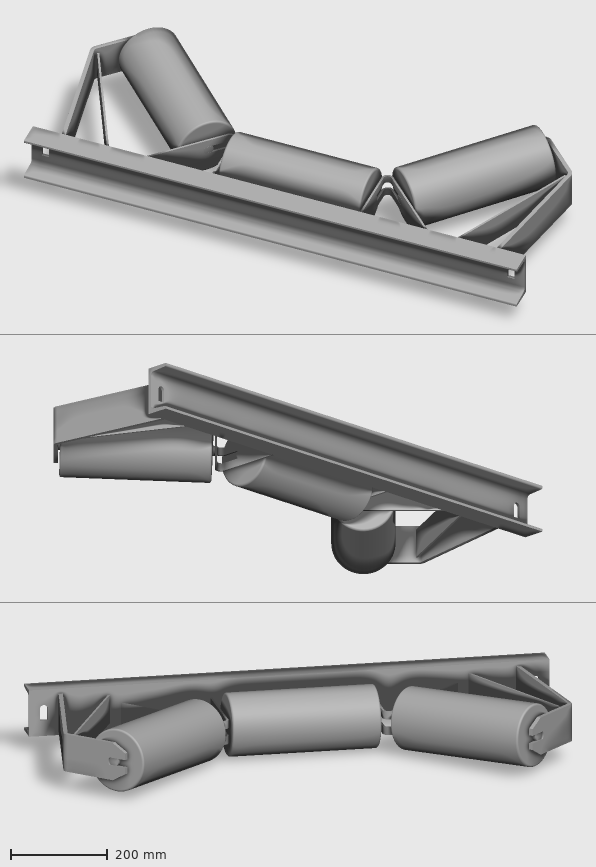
import cadquery as cq
import math


beam_length = 1100.0
beam_height = 100.0
beam_depth = 51.0
web_thickness = 7.0
flange_tip_thickness = 7.0
flange_root_thickness = 10.0
root_radius = 9.0
flange_tip_radius = 3.0
mount_slot_width = 16.0
mount_slot_height = 33.0
mount_slot_inset = 31.0

left = -1

roller_diameter = 133.0
roller_length = 315.0
roller_edge_radius = 4.0
trough_angle = 45.0
forward_tilt = 2.4
centre_roller_y = 115.0
centre_roller_z = -14.0
wing_roller_x = 331.0
wing_roller_y = 255.0

axle_diameter = 22.0
axle_flat_width = 16.0
axle_shoulder = 3.0

plate_gap = 5.0
inner_width = 51.0
outer_width = 80.0
brace_width = 60.0
inner_thickness = 4.0
outer_thickness = 9.0
inner_bend_radius = 9.0
outer_bend_radius = 9.0
outer_tip_reach = 31.0
outer_foot_x = 483.0
outer_bend_x = 534.0
brace_thickness = 4.0
brace_foot_x = 380.0
brace_head_x = 521.0
taper_length = 31.0
taper_depth = 18.0

cut_reach = 77.0
cut_thickness = 26.0

weld_depth = web_thickness / 2
axle_overhang = plate_gap + inner_thickness
half_roller = roller_length / 2
tilt = math.radians(forward_tilt)
slope = math.radians(trough_angle)
inner_leg_x = half_roller + plate_gap + inner_thickness / 2
wing_half_run = half_roller * math.cos(tilt)
inner_plate_offset = wing_half_run + plate_gap + inner_thickness / 2
outer_plate_offset = wing_half_run + plate_gap + outer_thickness / 2
wing_roller_z = centre_roller_z + inner_plate_offset * math.tan(tilt)


def wing_point(side, outward, upward):
    """Plan point reached from the wing roller centre, along its axis and then square to it."""
    x = wing_roller_x + outward * math.cos(slope) - upward * math.sin(slope)
    y = wing_roller_y + outward * math.sin(slope) + upward * math.cos(slope)
    return (side * x, y)


def roller_plane(side):
    """Plane at a roller centre: normal along the roller axis, x towards the open end of its slots."""
    if side == 0:
        return cq.Plane((0, centre_roller_y, centre_roller_z), (0, 1, 0), (1, 0, 0))
    axis = (side * math.cos(slope) * math.cos(tilt), math.sin(slope) * math.cos(tilt), math.sin(tilt))
    opening = (-side * math.sin(slope), math.cos(slope), 0)
    return cq.Plane((side * wing_roller_x, wing_roller_y, wing_roller_z), opening, axis)


def leg_plane(side, outward):
    """Upright plane on a sloping bracket leg, level with the wing roller axis in plan."""
    x, y = wing_point(side, outward, 0)
    opening = (-side * math.sin(slope), math.cos(slope), 0)
    normal = (side * math.cos(slope), math.sin(slope), 0)
    return cq.Plane((x, y, 0), opening, normal)


def make_roller(side):
    """Roller shell with rounded rims and a bore for its axle."""
    base = cq.Workplane(roller_plane(side)).workplane(offset=-half_roller)
    drum = base.circle(roller_diameter / 2).extrude(roller_length).edges().fillet(roller_edge_radius)
    bore = base.circle(axle_diameter / 2).extrude(roller_length)
    return drum.cut(bore)


def flatted_bar(plane, length):
    """Round bar with two flats, centred on the plane."""
    bar = cq.Workplane(plane).circle(axle_diameter / 2).extrude(length / 2, both=True)
    flats = cq.Workplane(plane).rect(axle_diameter, axle_flat_width).extrude(length / 2, both=True)
    return bar.intersect(flats)


def make_axle(side):
    """Round shaft through a roller, flatted at both ends to sit in the bracket slots."""
    plane = roller_plane(side)
    shaft = cq.Workplane(plane).circle(axle_diameter / 2).extrude(half_roller + axle_shoulder, both=True)
    return shaft.union(flatted_bar(plane, roller_length + 2 * axle_overhang))


def axle_slot(side, along):
    """Cutter for the open slot that holds an axle end, at a distance along the roller axis."""
    base = roller_plane(side)
    plane = cq.Plane(base.toWorldCoords((0, 0, along)), base.xDir, base.zDir)
    opening = (
        cq.Workplane(plane)
        .center(cut_reach / 2, 0)
        .rect(cut_reach, axle_flat_width)
        .extrude(cut_thickness / 2, both=True)
    )
    return opening.union(flatted_bar(plane, cut_thickness))


def make_beam():
    """Channel with tapered flanges pointing towards -Y and its web back on Y = 0."""
    half = beam_height / 2
    channel = (
        cq.Workplane("YZ")
        .polyline([
            (0, -half),
            (0, half),
            (-beam_depth, half),
            (-beam_depth, half - flange_tip_thickness),
            (-web_thickness, half - flange_root_thickness),
            (-web_thickness, flange_root_thickness - half),
            (-beam_depth, flange_tip_thickness - half),
            (-beam_depth, -half),
        ])
        .close()
        .extrude(beam_length / 2, both=True)
    )
    for level in (-1, 1):
        root = (0, -web_thickness, level * (half - flange_root_thickness))
        tip = (0, -beam_depth, level * (half - flange_tip_thickness))
        channel = channel.edges(cq.NearestToPointSelector(root)).fillet(root_radius)
        channel = channel.edges(cq.NearestToPointSelector(tip)).fillet(flange_tip_radius)
    return channel


def mount_slot(side):
    """Cutter for an upright mounting hole with a round top and a square bottom."""
    radius = mount_slot_width / 2
    bottom = -mount_slot_height / 2
    shoulder = mount_slot_height / 2 - radius
    return (
        cq.Workplane("XZ")
        .center(side * (beam_length / 2 - mount_slot_inset), 0)
        .moveTo(-radius, bottom)
        .lineTo(-radius, shoulder)
        .threePointArc((0, shoulder + radius), (radius, shoulder))
        .lineTo(radius, bottom)
        .close()
        .extrude(web_thickness)
    )


def shifted(point, direction, distance):
    """Point moved sideways, square to a direction given in radians."""
    return (point[0] - distance * math.sin(direction), point[1] + distance * math.cos(direction))


def make_strip(start, bend, end, thickness, width, bend_radius):
    """Upright plate along a plan centre line, bent to the right once with a given inside radius."""
    heading_in = math.atan2(bend[1] - start[1], bend[0] - start[0])
    heading_out = math.atan2(end[1] - bend[1], end[0] - bend[0])
    half_turn = (heading_out - heading_in) / 2
    half = thickness / 2
    outside = shifted(bend, heading_in + half_turn, half / math.cos(half_turn))
    inside = shifted(bend, heading_in + half_turn, -half / math.cos(half_turn))
    strip = (
        cq.Workplane("XY")
        .polyline([
            shifted(start, heading_in, half),
            outside,
            shifted(end, heading_out, half),
            shifted(end, heading_out, -half),
            inside,
            shifted(start, heading_in, -half),
        ])
        .close()
        .extrude(width / 2, both=True)
    )
    strip = strip.edges(cq.NearestToPointSelector((*inside, 0))).fillet(bend_radius)
    return strip.edges(cq.NearestToPointSelector((*outside, 0))).fillet(bend_radius + thickness)


def taper_cut(plane, start):
    """Cutter that narrows a plate from both edges, beginning a given distance along the plane's x."""
    edge = outer_width / 2
    cutter = cq.Workplane(plane)
    for level in (-1, 1):
        cutter = (
            cutter.moveTo(start, level * edge)
            .lineTo(start + taper_length, level * (edge - taper_depth))
            .lineTo(start + cut_reach, level * (edge - taper_depth))
            .lineTo(start + cut_reach, level * outer_width)
            .lineTo(start, level * outer_width)
            .close()
        )
    return cutter.extrude(cut_thickness / 2, both=True)


def make_inner_bracket():
    """Folded plate between the centre roller and a wing roller, slotted for both axles."""
    on_leg = wing_point(left, -inner_plate_offset, 0)
    bend = (-inner_leg_x, on_leg[1] + (-inner_leg_x - on_leg[0]) * math.tan(slope))
    slope_foot = (bend[0] - (bend[1] + weld_depth) / math.tan(slope), -weld_depth)
    upright_foot = (bend[0], -weld_depth)
    return (
        make_strip(slope_foot, bend, upright_foot, inner_thickness, inner_width, inner_bend_radius)
        .translate((0, 0, centre_roller_z))
        .cut(axle_slot(0, -inner_leg_x))
        .cut(axle_slot(left, -inner_plate_offset / math.cos(tilt)))
    )


def outer_bend_point():
    """Plan corner where the outer bracket's two legs meet on their centre lines."""
    on_leg = wing_point(left, outer_plate_offset, 0)
    return (-outer_bend_x, on_leg[1] + (-outer_bend_x - on_leg[0]) * math.tan(slope))


def make_outer_bracket():
    """Folded plate that holds the far end of a wing roller axle."""
    bend = outer_bend_point()
    tip = wing_point(left, outer_plate_offset, outer_tip_reach)
    return (
        make_strip((-outer_foot_x, -weld_depth), bend, tip, outer_thickness, outer_width, outer_bend_radius)
        .cut(taper_cut(leg_plane(left, outer_plate_offset), outer_tip_reach - taper_length))
        .cut(axle_slot(left, outer_plate_offset / math.cos(tilt)))
    )


def make_brace():
    """Flat stay from the beam to the inside of the outer bracket's bend."""
    foot = (-brace_foot_x, -weld_depth)
    head = (-brace_head_x, outer_bend_point()[1])
    heading = math.atan2(head[1] - foot[1], head[0] - foot[0])
    half = brace_thickness / 2
    return (
        cq.Workplane("XY")
        .polyline([
            shifted(foot, heading, half),
            shifted(head, heading, half),
            shifted(head, heading, -half),
            shifted(foot, heading, -half),
        ])
        .close()
        .extrude(brace_width / 2, both=True)
    )


def make_frame():
    """Beam, brackets and braces welded into one piece."""
    frame = make_beam()
    for plate in (make_inner_bracket(), make_outer_bracket(), make_brace()):
        frame = frame.union(plate).union(plate.mirror("YZ"))
    for side in (left, -left):
        frame = frame.cut(mount_slot(side))
    return frame


frame = make_frame()
positions = (left, 0, -left)
rollers = [make_roller(side).val() for side in positions]
axles = [make_axle(side).val() for side in positions]
result = cq.Compound.makeCompound([frame.val(), *rollers, *axles])